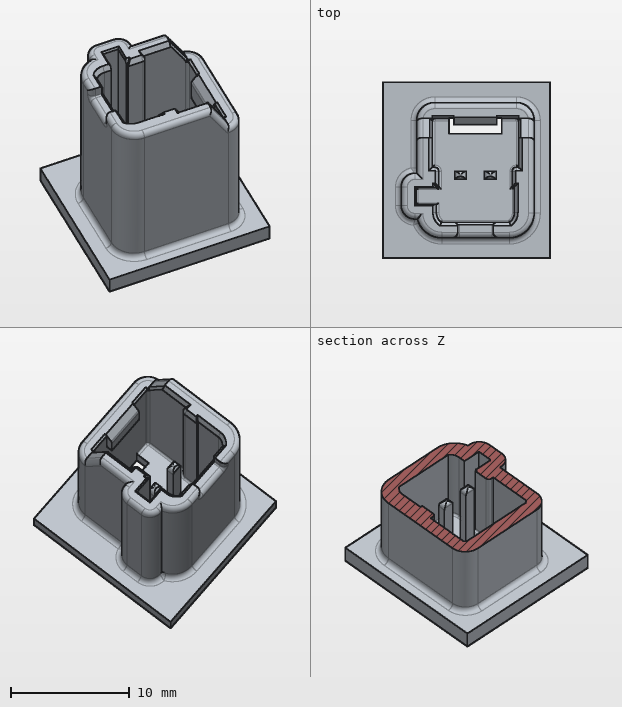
import cadquery as cq
import math

plate_x = 14.1
plate_y = 14.85
plate_z = 1.5
height = 16.55

shell_half_y = 5.71
shell_left = -4.2
shell_right = 5.71
middle_x = (shell_left + shell_right) / 2
rear_corner = 1.5
front_corner = 2.12
edge_round = 0.5

key_y = -2.18
bulge_left = -5.51
bulge_length_y = 3.87
bulge_corner = 1.16

rear_rim_z = 13.75
ramp_low_y = 4.37
ramp_angle = 60.0
ramp_high_y = ramp_low_y - (height - rear_rim_z) / math.tan(math.radians(ramp_angle))

notch_width = 2.98
notch_depth = 1.0
notch_corner = 0.13

rear_half_width = 3.64
waist_half_width = 3.1
front_half_width = 3.3
cavity_rear_y = 4.39
waist_rear_y = 0.25
waist_front_y = -1.39
bay_arc_y = -3.55
cavity_front_y = -4.4
bay_arc_radius = 1.06
cavity_rear_corner = 0.26
waist_corner = 0.33
floor_round = 0.2
floor_z = plate_z
rim_bevel_width = 0.3
rim_bevel_depth = 0.51
low_rim_bevel = 0.2

slot_left = -4.24
slot_width = 1.39
slot_bevel_width = 0.12
slot_bevel_depth = 0.2
slot_floor_round = 0.13

latch_width = 3.62
latch_face_y = 3.82
latch_lead_y = 0.66
latch_lead_z = 0.76
latch_height = 2.65
latch_nose_round = 0.4
opening_width = 4.42
opening_front_y = 3.1

pin_pitch = 2.52
pin_y = -0.41
pin_width = 1.0
pin_thickness = 0.68
pin_top_z = 8.28
pin_side_round = 0.48
pin_rear_round = 0.26
pin_front_chamfer = 0.23


def block(x_min, x_max, y_min, y_max, z_min, z_max):
    size = (x_max - x_min, y_max - y_min, z_max - z_min)
    return cq.Workplane("XY").box(*size, centered=False).translate((x_min, y_min, z_min))


def side_profile(points, width):
    """Extrude a (y, z) outline across X, centred on the middle of the housing."""
    plane = cq.Workplane("YZ", origin=(middle_x - width / 2, 0, 0))
    return plane.polyline(points).close().extrude(width)


def outline_prism(top_z, rear_y):
    """Plan outline of the housing with square rear corners, from the plate up to top_z."""
    prism = block(shell_left, shell_right, -shell_half_y, rear_y, plate_z, top_z)
    prism = prism.edges("|Z and <Y").fillet(front_corner)
    bulge_min_y = key_y - bulge_length_y / 2
    bulge_max_y = key_y + bulge_length_y / 2
    bulge = block(bulge_left, middle_x, bulge_min_y, bulge_max_y, plate_z, top_z)
    return prism.union(bulge.edges("|Z and <X").fillet(bulge_corner))


def closed_outline(top_z):
    return outline_prism(top_z, shell_half_y).edges("|Z and >Y").fillet(rear_corner)


def is_outer_tall_edge(edge):
    """True for the edges of the tall part that carry the outer round."""
    box = edge.BoundingBox()
    beside_notch = abs(edge.Center().x - middle_x) < notch_width / 2 + 0.02
    on_front_face = box.ymax < -shell_half_y + 0.02
    on_rim = box.zmin > height - 0.02
    ramp = box.zlen > 0.17 and box.ylen > 0.17
    if beside_notch:
        return on_front_face and box.zmin > rear_rim_z
    return on_rim or ramp


def make_tall_part():
    """Full-height front of the housing, ending at the ramp plane, with the notch."""
    ramp_end_y = ramp_high_y + (height - plate_z) / math.tan(math.radians(ramp_angle))
    behind_ramp = [(ramp_high_y, height), (ramp_end_y, plate_z), (ramp_end_y, height)]
    part = outline_prism(height, ramp_end_y).cut(side_profile(behind_ramp, plate_x))

    notch_left = middle_x - notch_width / 2
    notch_right = middle_x + notch_width / 2
    notch = block(notch_left, notch_right, -plate_y, bay_arc_y, height - notch_depth, 2 * height)
    part = part.cut(notch.edges("|Y and <Z").fillet(notch_corner))

    outer_edges = [edge for edge in part.edges().vals() if is_outer_tall_edge(edge)]
    part = part.newObject(outer_edges).fillet(edge_round)
    return part.intersect(closed_outline(height))


def make_body():
    """Plate and solid housing, blended together at the foot of the walls."""
    low_part = closed_outline(rear_rim_z).faces(">Z").edges().fillet(edge_round)
    plate = block(-plate_x / 2, plate_x / 2, -plate_y / 2, plate_y / 2, 0, plate_z)
    body = plate.union(make_tall_part()).union(low_part)
    foot = cq.selectors.BoxSelector(
        (-plate_x / 2 + 0.17, -plate_y / 2 + 0.17, plate_z - 0.02),
        (plate_x / 2 - 0.17, plate_y / 2 - 0.17, plate_z + 0.02),
        boundingbox=True,
    )
    return body.edges(foot).fillet(edge_round)


def cavity_outline():
    """Plan outline of the cavity walls, with rounded corners behind the waist."""
    rear_left = middle_x - rear_half_width
    rear_right = middle_x + rear_half_width
    waist_left = middle_x - waist_half_width
    waist_right = middle_x + waist_half_width
    front_left = middle_x - front_half_width
    front_right = middle_x + front_half_width
    arc_drop = bay_arc_y - cavity_front_y
    arc_inset = bay_arc_radius - math.sqrt(bay_arc_radius**2 - arc_drop**2)
    outline = (
        cq.Workplane("XY")
        .moveTo(rear_left, cavity_rear_y)
        .lineTo(rear_left, waist_rear_y)
        .lineTo(waist_left, waist_rear_y)
        .lineTo(waist_left, waist_front_y)
        .lineTo(front_left, waist_front_y)
        .lineTo(front_left, bay_arc_y)
        .radiusArc((front_left + arc_inset, cavity_front_y), -bay_arc_radius)
        .lineTo(front_right - arc_inset, cavity_front_y)
        .radiusArc((front_right, bay_arc_y), -bay_arc_radius)
        .lineTo(front_right, waist_front_y)
        .lineTo(waist_right, waist_front_y)
        .lineTo(waist_right, waist_rear_y)
        .lineTo(rear_right, waist_rear_y)
        .lineTo(rear_right, cavity_rear_y)
        .close()
        .val()
    )
    rounded = [
        vertex
        for vertex in outline.Vertices()
        if math.isclose(vertex.Y, waist_rear_y) and abs(vertex.X - middle_x) < front_half_width
    ]
    return outline.fillet2D(waist_corner, rounded)


def bevel_cutter(outline, width, depth):
    """Flared solid that bevels the full-height rim around an outline."""
    wide = outline.offset2D(width, "intersection")[0]
    lower = outline.translate(cq.Vector(0, 0, height - depth))
    upper = wide.translate(cq.Vector(0, 0, height))
    return cq.Workplane(cq.Solid.makeLoft([lower, upper], True))


def above_ramp_only(solid):
    """Keep the part of a rim cutter that lies in front of the ramp."""
    return solid.intersect(block(-plate_x, plate_x, -plate_y, ramp_high_y, 0, height))


def make_cavity():
    outline = cavity_outline()
    cavity = cq.Workplane(cq.Solid.extrudeLinear(outline, [], cq.Vector(0, 0, height - floor_z)))
    cavity = cavity.translate((0, 0, floor_z))
    cavity = cavity.edges("|Z and >Y").fillet(cavity_rear_corner)
    cavity = cavity.faces("<Z").edges().fillet(floor_round)
    return cavity.union(above_ramp_only(bevel_cutter(outline, rim_bevel_width, rim_bevel_depth)))


def make_key_slot():
    slot_length = middle_x - slot_left
    center = (slot_left + slot_length / 2, key_y)
    outline = cq.Workplane("XY").center(*center).rect(slot_length, slot_width).val()
    slot = block(
        slot_left, middle_x, key_y - slot_width / 2, key_y + slot_width / 2, floor_z, height
    )
    slot = slot.faces("<Z").edges().fillet(slot_floor_round)
    return slot.union(bevel_cutter(outline, slot_bevel_width, slot_bevel_depth))


def make_low_rim_bevels():
    """Cutters that bevel the inner edges of the ramps and the rear rim."""
    ramp_length = (height - rear_rim_z) / math.sin(math.radians(ramp_angle))
    ramp_normal = (0, math.sin(math.radians(ramp_angle)), math.cos(math.radians(ramp_angle)))
    up_ramp = (0, -ramp_normal[2], ramp_normal[1])
    ramp_foot = (middle_x, ramp_low_y, rear_rim_z)
    ramp_plane = cq.Plane(origin=ramp_foot, xDir=(1, 0, 0), normal=up_ramp)
    inner = rear_half_width - low_rim_bevel
    outer = rear_half_width + low_rim_bevel
    ramp_bevel = (
        cq.Workplane(ramp_plane)
        .polyline([(-inner, -2 * low_rim_bevel), (inner, -2 * low_rim_bevel), (outer, 0), (-outer, 0)])
        .close()
        .extrude(ramp_length)
    )
    rear_bevel = side_profile(
        [
            (cavity_rear_y, rear_rim_z - low_rim_bevel),
            (cavity_rear_y + low_rim_bevel, rear_rim_z),
            (ramp_low_y - low_rim_bevel, rear_rim_z),
            (ramp_low_y - low_rim_bevel, rear_rim_z - low_rim_bevel),
        ],
        2 * rear_half_width,
    )
    return ramp_bevel.union(rear_bevel)


def make_notch_bevel():
    """Cutter that bevels the inner edges of the notch."""
    half_width = notch_width / 2 + low_rim_bevel
    bevel = block(
        middle_x - half_width,
        middle_x + half_width,
        cavity_front_y - low_rim_bevel,
        bay_arc_y,
        height - notch_depth - low_rim_bevel,
        2 * height,
    )
    return bevel.faces("<Y").edges().chamfer(low_rim_bevel)


def make_latch():
    lead_start_y = latch_face_y + latch_lead_y
    lead_end_z = rear_rim_z - latch_lead_z
    root_y = cavity_rear_y + low_rim_bevel
    latch_bottom_z = rear_rim_z - latch_height
    profile = [
        (root_y, rear_rim_z),
        (lead_start_y, rear_rim_z),
        (latch_face_y, lead_end_z),
        (latch_face_y, latch_bottom_z),
        (root_y, latch_bottom_z),
    ]
    nose = cq.selectors.NearestToPointSelector((middle_x, latch_face_y, lead_end_z))
    return side_profile(profile, latch_width).edges(nose).fillet(latch_nose_round)


def make_opening():
    left = middle_x - opening_width / 2
    right = middle_x + opening_width / 2
    return block(left, right, opening_front_y, cavity_rear_y, 0, floor_z + floor_round)


def make_pin(x):
    """Flat pin: domed across its width, rounded behind and chamfered in front."""
    left = x - pin_width / 2
    right = x + pin_width / 2
    front = pin_y - pin_thickness / 2
    rear = pin_y + pin_thickness / 2
    pin = block(left, right, front, rear, floor_z / 2, pin_top_z)
    domed = pin.edges("|Y and >Z").fillet(pin_side_round)
    pin = pin.edges(">Y and >Z").fillet(pin_rear_round)
    pin = pin.edges("<Y and >Z").chamfer(pin_front_chamfer)
    return pin.intersect(domed)


result = make_body()
for cutter in (
    make_cavity(),
    make_key_slot(),
    make_low_rim_bevels(),
    make_notch_bevel(),
    make_opening(),
):
    result = result.cut(cutter)
result = result.union(make_latch())
for side in (-1, 1):
    result = result.union(make_pin(middle_x + side * pin_pitch / 2))